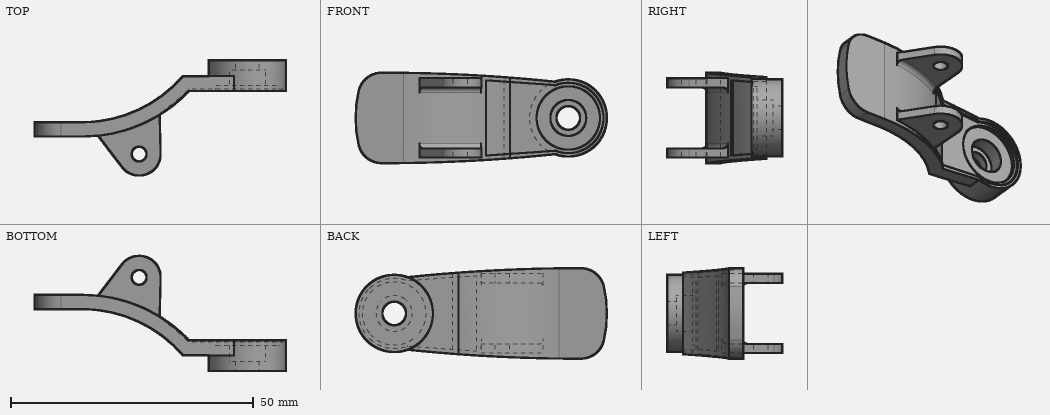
import cadquery as cq
import math

length = 51.95
width = 18.75
half_width = width / 2
thickness = 3.0

pad_length = 9.85
end_radius = 24.95
corner_radius = 4.95
corner_z = half_width - corner_radius
corner_x = end_radius - math.sqrt((end_radius - corner_radius) ** 2 - corner_z**2)

bend_radius = 30.5
arm_front = 9.4
arm_thickness = 3.1
arm_back = arm_front + arm_thickness

boss_diameter = 16.0
boss_radius = boss_diameter / 2
boss_x = length - boss_radius
boss_back = 15.8
joint_x = 41.2
flank_end_half_width = math.sqrt(boss_radius**2 - (boss_x - joint_x) ** 2)

rim = 0.75
rim_at_start = 0.95
pocket_start = 26.9
pocket_depth = 0.4
counterbore_diameter = 13.1
counterbore_depth = 0.75
bore_diameter = 7.45
bore_depth = 3.25
through_diameter = 4.85

ear_x = 21.6
ear_y = -3.6
ear_radius = 4.45
ear_hole_diameter = 3.0
ear_inner = 6.3
ear_thickness = 1.9
ear_root_left = (13.2, 0.1)
ear_root_right = (25.85, 4.65)
ear_embed = 1.05
ear_fillet = 1.05
blend_overlap = 0.5

flank_run = joint_x - corner_x
flank_drop = half_width - flank_end_half_width
flank_radius = (flank_run**2 + flank_drop**2) / (2 * flank_drop)


def flank_half_width(x):
    return half_width - flank_radius + math.sqrt(flank_radius**2 - (x - corner_x) ** 2)


def bend_front(x):
    return bend_radius - math.sqrt(bend_radius**2 - (x - pad_length) ** 2)


def bend_x(y, radius):
    return pad_length + math.sqrt(radius**2 - (bend_radius - y) ** 2)


def cylinder_y(diameter, y_start, y_end):
    """Cylinder on the boss axis between two Y positions."""
    plane = cq.Plane(origin=(boss_x, y_start, 0), xDir=(1, 0, 0), normal=(0, 1, 0))
    return cq.Workplane(plane).circle(diameter / 2).extrude(y_end - y_start)


def side_profile():
    """Pad, bend and arm at full width."""
    bend_end_x = bend_x(arm_front, bend_radius)
    back_end_x = bend_x(arm_back, bend_radius - thickness)
    middle_x = (pad_length + bend_end_x) / 2
    back_middle_x = (pad_length + back_end_x) / 2
    back_middle_y = bend_radius - math.sqrt(
        (bend_radius - thickness) ** 2 - (back_middle_x - pad_length) ** 2
    )
    return (
        cq.Workplane("XY")
        .moveTo(0, 0)
        .lineTo(pad_length, 0)
        .threePointArc((middle_x, bend_front(middle_x)), (bend_end_x, arm_front))
        .lineTo(boss_x, arm_front)
        .lineTo(boss_x, arm_back)
        .lineTo(back_end_x, arm_back)
        .threePointArc((back_middle_x, back_middle_y), (pad_length, thickness))
        .lineTo(0, thickness)
        .close()
        .extrude(half_width, both=True)
    )


def plan_outline():
    """Rounded pad end and narrowing flanks, cut off at the boss joint."""
    end_angle = math.atan2(corner_z, end_radius - corner_x)
    tangent_x = end_radius * (1 - math.cos(end_angle))
    tangent_z = end_radius * math.sin(end_angle)
    middle_angle = (end_angle + math.pi / 2) / 2
    corner_mid_x = corner_x - corner_radius * math.cos(middle_angle)
    corner_mid_z = corner_z + corner_radius * math.sin(middle_angle)
    flank_mid_x = (corner_x + joint_x) / 2
    flank_mid_z = flank_half_width(flank_mid_x)
    return (
        cq.Workplane("XZ")
        .moveTo(tangent_x, -tangent_z)
        .threePointArc((0, 0), (tangent_x, tangent_z))
        .threePointArc((corner_mid_x, corner_mid_z), (corner_x, half_width))
        .threePointArc((flank_mid_x, flank_mid_z), (joint_x, flank_end_half_width))
        .lineTo(joint_x, -flank_end_half_width)
        .threePointArc((flank_mid_x, -flank_mid_z), (corner_x, -half_width))
        .threePointArc((corner_mid_x, -corner_mid_z), (tangent_x, -tangent_z))
        .close()
        .extrude(-boss_back)
    )


def tangent_point(point, side):
    """Point where the line from the given point touches the ear's round end."""
    dx = point[0] - ear_x
    dy = point[1] - ear_y
    angle = math.atan2(dy, dx) + side * math.acos(ear_radius / math.hypot(dx, dy))
    return (ear_x + ear_radius * math.cos(angle), ear_y + ear_radius * math.sin(angle))


def ear(z_start, ear_width):
    """Tapered ear whose root is buried in the bend."""
    return (
        cq.Workplane("XY", origin=(0, 0, z_start))
        .moveTo(*ear_root_left)
        .lineTo(*tangent_point(ear_root_left, 1))
        .threePointArc((ear_x, ear_y - ear_radius), tangent_point(ear_root_right, -1))
        .lineTo(*ear_root_right)
        .lineTo(ear_root_right[0], ear_root_right[1] + ear_embed)
        .lineTo(ear_root_left[0], ear_root_left[1] + ear_embed)
        .close()
        .extrude(ear_width)
    )


def root_blend():
    """Concave fillet along the bend at the inner foot of the upper ear, ending flush with its sides."""
    outer_r = bend_radius + ear_fillet
    inner_z = ear_inner - ear_fillet
    arc_offset = ear_fillet * math.sqrt(0.5)
    ring = (
        cq.Workplane("XZ", origin=(pad_length, bend_radius, 0))
        .moveTo(bend_radius - blend_overlap, inner_z)
        .lineTo(bend_radius, inner_z)
        .threePointArc((outer_r - arc_offset, inner_z + arc_offset), (outer_r, ear_inner))
        .lineTo(outer_r, ear_inner + blend_overlap)
        .lineTo(bend_radius - blend_overlap, ear_inner + blend_overlap)
        .close()
        .revolve(360, (0, 0, 0), (0, 1, 0))
    )
    return ring.intersect(ear(inner_z, ear_fillet + ear_thickness))


def pocket():
    """Recess with a floor parallel to the front face, leaving a rim along the edges."""
    bend_end_x = bend_x(arm_front, bend_radius)
    middle_x = (pocket_start + bend_end_x) / 2
    floor = (
        cq.Workplane("XY")
        .moveTo(pocket_start, 0)
        .lineTo(pocket_start, bend_front(pocket_start) + pocket_depth)
        .threePointArc(
            (middle_x, bend_front(middle_x) + pocket_depth),
            (bend_end_x, arm_front + pocket_depth),
        )
        .lineTo(length, arm_front + pocket_depth)
        .lineTo(length, 0)
        .close()
        .extrude(half_width, both=True)
    )
    start_z = flank_half_width(pocket_start) - rim_at_start
    end_z = flank_end_half_width - rim
    flanks = (
        cq.Workplane("XZ")
        .moveTo(pocket_start, -start_z)
        .lineTo(pocket_start, start_z)
        .lineTo(joint_x, end_z)
        .lineTo(joint_x, -end_z)
        .close()
        .extrude(-boss_back)
    )
    return floor.intersect(flanks.union(cylinder_y(boss_diameter - 2 * rim, 0, boss_back)))


body = side_profile().intersect(plan_outline())
body = body.union(cylinder_y(boss_diameter, arm_front, boss_back))

upper_ear = ear(ear_inner, ear_thickness).union(root_blend())
body = body.union(upper_ear).union(upper_ear.mirror("XY"))

ear_holes = (
    cq.Workplane("XY")
    .center(ear_x, ear_y)
    .circle(ear_hole_diameter / 2)
    .extrude(half_width, both=True)
)

body = body.cut(ear_holes).cut(pocket())
counterbore_floor = arm_front + pocket_depth + counterbore_depth
bore_floor = counterbore_floor + bore_depth
body = body.cut(cylinder_y(counterbore_diameter, arm_front, counterbore_floor))
body = body.cut(cylinder_y(bore_diameter, arm_front, bore_floor))
result = body.cut(cylinder_y(through_diameter, arm_front, boss_back))